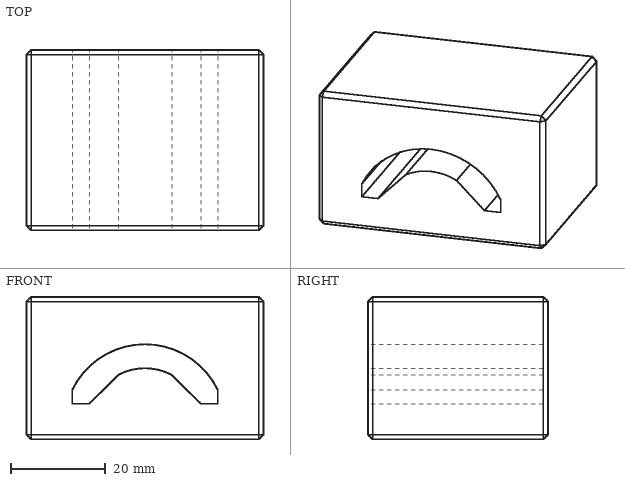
import cadquery as cq
import math

length = 50
depth = 38
height = 30
edge_chamfer = 1

arc_center_z = 3 - height / 2
outer_radius = 17
slot_width = 5
inner_radius = outer_radius - slot_width
half_span = 15.3
floor_z = 7.5 - height / 2
foot_half_gap = 11.75
shoulder_half_gap = 5.6


def height_on_arc(radius, x):
    return arc_center_z + math.sqrt(radius**2 - x**2)


def make_block():
    return cq.Workplane("XY").box(length, depth, height).edges().chamfer(edge_chamfer)


def make_slot():
    outer_end_z = height_on_arc(outer_radius, half_span)
    shoulder_z = height_on_arc(inner_radius, shoulder_half_gap)
    return (
        cq.Workplane("XZ")
        .moveTo(-half_span, floor_z)
        .lineTo(-half_span, outer_end_z)
        .threePointArc((0, arc_center_z + outer_radius), (half_span, outer_end_z))
        .lineTo(half_span, floor_z)
        .lineTo(foot_half_gap, floor_z)
        .lineTo(shoulder_half_gap, shoulder_z)
        .threePointArc((0, arc_center_z + inner_radius), (-shoulder_half_gap, shoulder_z))
        .lineTo(-foot_half_gap, floor_z)
        .close()
        .extrude(depth / 2, both=True)
    )


result = make_block().cut(make_slot())